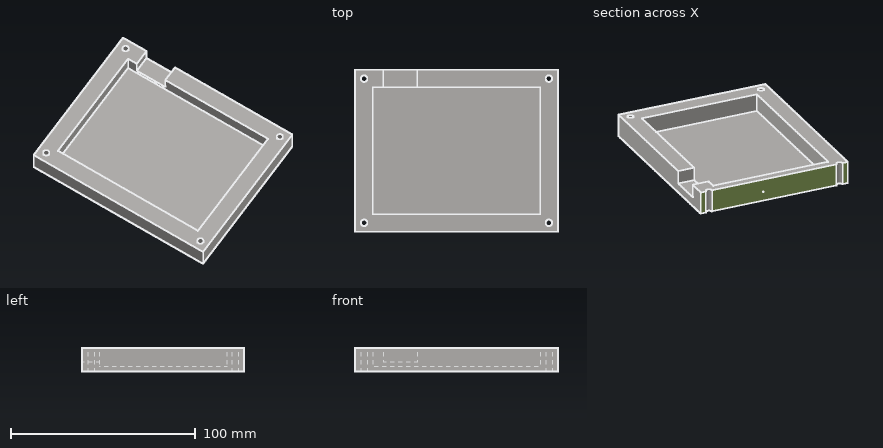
import cadquery as cq

length = 110.0
width = 88.0
height = 13.0

wall = 9.6
floor_thickness = 3.0

notch_start = 15.3
notch_length = 18.5
notch_depth = 7.5

hole_diameter = 3.4
hole_inset = 5.0


def make_block():
    """Solid block centred on X and Y, standing on Z = 0."""
    return cq.Workplane("XY").box(length, width, height, centered=(True, True, False))


def make_pocket():
    """Volume of the rectangular pocket above the floor."""
    return (
        cq.Workplane("XY")
        .workplane(offset=floor_thickness)
        .rect(length - 2 * wall, width - 2 * wall)
        .extrude(height - floor_thickness)
    )


def make_notch():
    """Volume that lowers a stretch of the +Y wall."""
    corner = (-length / 2 + notch_start, width / 2 - wall, height - notch_depth)
    return cq.Workplane("XY").box(notch_length, wall, notch_depth, centered=False).translate(corner)


def make_corner_holes():
    """Four plain through holes, one in each corner."""
    return (
        cq.Workplane("XY")
        .rect(length - 2 * hole_inset, width - 2 * hole_inset, forConstruction=True)
        .vertices()
        .circle(hole_diameter / 2)
        .extrude(height)
    )


result = make_block().cut(make_pocket()).cut(make_notch()).cut(make_corner_holes())